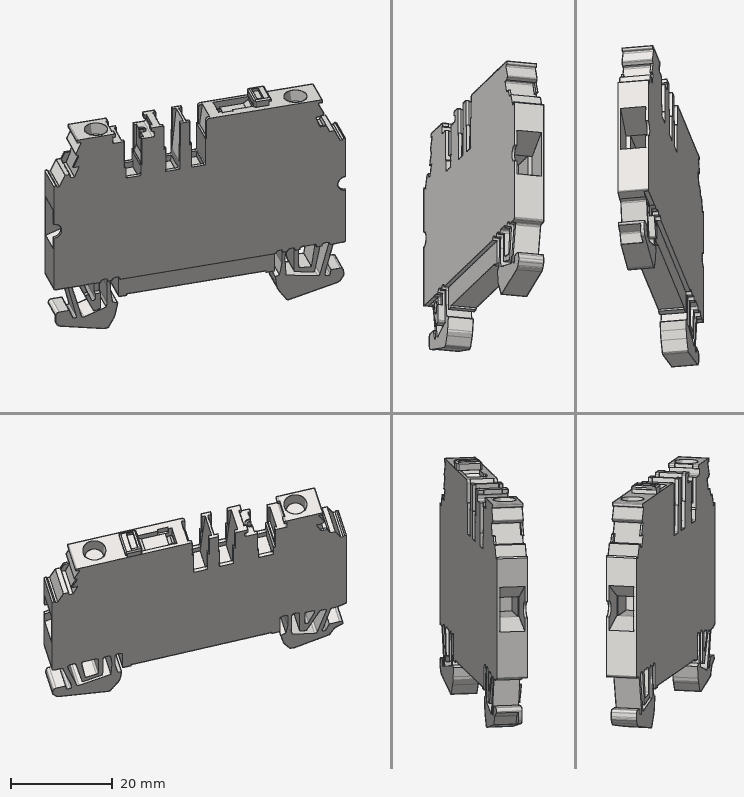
import cadquery as cq
import math

WIDTH = 6.1
HALF_LENGTH = 30.0
TOP_Z = 46.0
SLOT_FLOOR_Z = 35.3
WELL_FLOOR_Z = 34.0
LEDGE_Z = 43.85
FOOT_WIDTH = 5.16
FOOT_LINE_Z = 11.9
BASE_Z = 7.6
LEG_SLOT_TOP_Z = 12.53

SIDE_WALL = 0.7
WELL_WIDTH = 4.7
STRIP = 0.4
RECESS_DEPTH = 1.05

SCREW_X = 3.33
SCREW_Y = 20.5
SCREW_HOLE_MOUTH_RADIUS = 2.27
SCREW_HOLE_FLOOR_RADIUS = 1.85
SCREW_HOLE_DEPTH = 2.3


def rounded_outline(workplane, corners):
    """Closed outline through (u, v) corners; a third entry rounds that corner."""
    count = len(corners)
    started = False
    for index, corner in enumerate(corners):
        u, v = corner[:2]
        if len(corner) == 2:
            entry, middle, leave = (u, v), None, None
        else:
            before, after = corners[index - 1], corners[(index + 1) % count]
            entry, middle, leave = corner_arc(before, (u, v), after, corner[2])
        workplane = workplane.lineTo(*entry) if started else workplane.moveTo(*entry)
        started = True
        if middle:
            workplane = workplane.threePointArc(middle, leave)
    return workplane.close()


def corner_arc(before, corner, after, radius):
    """Start, middle and end of the arc that rounds one corner."""
    angle_in = math.atan2(before[1] - corner[1], before[0] - corner[0])
    angle_out = math.atan2(after[1] - corner[1], after[0] - corner[0])
    turn = math.remainder(angle_out - angle_in, 2 * math.pi)
    half = abs(turn) / 2
    tangent_length = radius / math.tan(half)
    middle_distance = radius / math.sin(half) - radius
    bisector = angle_in + turn / 2

    def along(angle, distance):
        return (corner[0] + distance * math.cos(angle), corner[1] + distance * math.sin(angle))

    return (
        along(angle_in, tangent_length),
        along(bisector, middle_distance),
        along(angle_out, tangent_length),
    )


def plate(corners, x_start, x_end):
    """YZ outline extruded along X between two positions."""
    workplane = cq.Workplane("YZ", origin=(x_start, 0, 0))
    return rounded_outline(workplane, corners).extrude(x_end - x_start)


def block(x_range, y_range, z_range):
    """Axis-aligned box given by its limits."""
    size = [high - low for low, high in (x_range, y_range, z_range)]
    corner = (x_range[0], y_range[0], z_range[0])
    return cq.Workplane("XY").box(*size, centered=False).translate(corner)


SHOULDER_TOP = (24.9, 42.15)
SHOULDER_BOTTOM = (26.7, 38.3)
SHOULDER = [
    (25.2, TOP_Z, 0.15),
    (25.2, 45.25, 0.15),
    (24.3, 45.4, 0.2),
    (25.55, 42.7, 0.2),
    SHOULDER_TOP,
    SHOULDER_BOTTOM,
    (27.7, 38.3),
    (28.87, 35.85),
    (29.3, 35.85),
    (29.62, 36.25),
    (HALF_LENGTH, 36.0),
]

front_shoulder = [(-corner[0], *corner[1:]) for corner in SHOULDER]
rear_shoulder = SHOULDER[::-1]

BRIDGE_SLOTS = [
    (1.4, TOP_Z, 0.6),
    (1.4, 41.45),
    (1.16, 41.45),
    (1.16, SLOT_FLOOR_Z, 0.25),
    (-1.7, SLOT_FLOOR_Z, 0.25),
    (-1.7, 40.85),
    (-2.04, 40.6),
    (-2.04, TOP_Z),
    (-3.95, TOP_Z),
    (-3.95, 40.75),
    (-4.08, 40.75),
    (-4.08, SLOT_FLOOR_Z, 0.25),
    (-6.98, SLOT_FLOOR_Z),
    (-6.98, 40.75),
    (-7.36, 40.5),
    (-7.36, TOP_Z, 0.3),
    (-9.94, TOP_Z),
    (-9.94, 45.25),
    (-9.3, 45.0, 0.2),
    (-9.3, LEDGE_Z, 0.4),
    (-11.9, LEDGE_Z),
    (-11.9, 37.85),
    (-12.07, 37.85),
    (-12.07, SLOT_FLOOR_Z, 0.25),
    (-15.15, SLOT_FLOOR_Z, 0.25),
    (-15.15, 37.5),
    (-15.5, 37.8),
    (-15.5, LEDGE_Z),
    (-17.88, LEDGE_Z, 0.25),
    (-17.88, 45.25),
    (-17.3, 45.25),
    (-17.3, TOP_Z, 0.3),
]

FRONT_FOOT = [
    (-HALF_LENGTH, 12.05, 0.2),
    (-28.16, 11.4),
    (-26.8, 11.4, 0.3),
    (-25.0, 4.0, 0.25),
    (-25.75, 4.0, 0.2),
    (-26.5, 5.97),
    (-29.3, 5.97, 0.7),
    (-29.3, 2.85, 1.3),
    (-19.3, 0.35, 1.2),
    (-18.5, 0.5, 0.3),
    (-17.2, 2.8, 4.0),
    (-16.57, 5.85),
    (-17.64, 6.3),
    (-18.05, 8.8),
    (-18.1, LEG_SLOT_TOP_Z, 0.75),
    (-16.4, LEG_SLOT_TOP_Z, 0.75),
    (-16.4, 7.25, 0.2),
    (-14.8, 7.25),
    (-14.7, BASE_Z),
]

REAR_FOOT = [
    (13.84, BASE_Z),
    (13.95, 7.25),
    (15.65, 7.25, 0.2),
    (15.65, LEG_SLOT_TOP_Z, 0.7),
    (17.17, LEG_SLOT_TOP_Z, 0.7),
    (17.17, 8.8),
    (16.67, 6.2),
    (15.83, 5.85),
    (16.2, 3.0, 4.0),
    (18.3, -0.06, 0.5),
    (29.0, 2.25, 1.5),
    (30.0, 3.7, 1.0),
    (29.7, 5.4, 0.6),
    (27.27, 5.4),
    (27.05, 4.15, 0.3),
    (26.05, 4.15, 0.3),
    (26.1, 5.2),
    (27.9, 11.95, 0.6),
    (HALF_LENGTH, 11.95, 0.4),
]

FRONT_LEG_SLOT = [
    (-18.85, LEG_SLOT_TOP_Z, 0.7),
    (-20.4, LEG_SLOT_TOP_Z, 0.7),
    (-20.4, 5.85, 0.5),
    (-21.8, 5.5, 0.3),
    (-24.6, 11.5, 0.5),
    (-26.05, 11.5, 0.5),
    (-23.9, 3.75, 0.4),
    (-18.95, 5.35),
    (-18.77, 6.3),
    (-18.77, 10.27),
]
FRONT_LEG_HOLE = [
    (-21.49, 11.97, 0.4),
    (-23.75, 11.97, 0.5),
    (-22.15, 7.9, 0.3),
    (-21.49, 8.2, 0.3),
]
REAR_LEG_SLOT = [
    (27.05, LEG_SLOT_TOP_Z, 0.7),
    (25.25, LEG_SLOT_TOP_Z, 0.5),
    (23.85, 5.5, 0.25),
    (19.7, 6.35, 0.2),
    (19.66, LEG_SLOT_TOP_Z, 0.7),
    (18.1, LEG_SLOT_TOP_Z, 0.6),
    (17.8, 9.7),
    (18.03, 5.85),
    (24.9, 4.45, 0.4),
]
REAR_LEG_HOLE = [
    (24.05, LEG_SLOT_TOP_Z, 0.4),
    (20.59, LEG_SLOT_TOP_Z, 0.6),
    (20.59, 7.1, 0.45),
    (23.24, 6.85),
]


def housing_plate():
    """Full-width housing plate, with the thinner feet and rail base below it."""
    outline = rear_shoulder + BRIDGE_SLOTS + front_shoulder + FRONT_FOOT + REAR_FOOT
    body = plate(outline, 0, WIDTH)
    for opening in (FRONT_LEG_SLOT, FRONT_LEG_HOLE, REAR_LEG_SLOT, REAR_LEG_HOLE):
        body = body.cut(plate(opening, 0, WIDTH))
    return body


BELOW_FEET_Z = -1.0
STOP_BOTTOM_Z = 5.5
STOP_TOP_Z = 9.47
STOP_Y = (-23.7, -20.4)
HOOK_TIP_WIDTH = 0.73
HOOK_RELIEF = [
    (-26.55, 2.2),
    (-27.6, 4.15, 0.6),
    (-29.4, 5.1),
    (-HALF_LENGTH, 5.1),
    (-HALF_LENGTH, 2.0),
]


def thin_the_feet(body):
    """Step the lower part back from the +X face, keep the lug, relieve the hook."""
    lower = block((FOOT_WIDTH, WIDTH), (-HALF_LENGTH, HALF_LENGTH), (BELOW_FEET_Z, FOOT_LINE_Z))
    lug = block((FOOT_WIDTH, WIDTH), STOP_Y, (STOP_BOTTOM_Z, STOP_TOP_Z))
    body = body.cut(lower.cut(lug))
    return body.cut(plate(HOOK_RELIEF, 0, FOOT_WIDTH - HOOK_TIP_WIDTH))


GROOVE_INNER_Y = 25.75
GROOVE_OUTER_Y = 26.5
GROOVE_FLOOR_Z = 37.5
STRIP_SPLIT_Z = 39.75


def shoulder_recess(body, side):
    """Marker recess in a sloped shoulder (side is +1 rear, -1 front).

    A proud strip stays along each edge: one above the split, the other below it,
    so that neighbouring housings interlock.
    """
    top_y, top_z = SHOULDER_TOP
    bottom_y, bottom_z = SHOULDER_BOTTOM
    outline = [
        (side * top_y, top_z),
        (side * (top_y - RECESS_DEPTH), top_z, 0.2),
        (side * GROOVE_INNER_Y, GROOVE_FLOOR_Z),
        (side * GROOVE_OUTER_Y, GROOVE_FLOOR_Z),
        (side * bottom_y, bottom_z),
    ]
    y_range = (-HALF_LENGTH, HALF_LENGTH)
    upper = block((0, WIDTH), y_range, (STRIP_SPLIT_Z, TOP_Z))
    lower = block((0, WIDTH), y_range, (FOOT_LINE_Z, STRIP_SPLIT_Z))
    near_half, far_half = (upper, lower) if side < 0 else (lower, upper)
    body = body.cut(plate(outline, STRIP, WIDTH - STRIP))
    body = body.cut(plate(outline, 0, STRIP).intersect(near_half))
    return body.cut(plate(outline, WIDTH - STRIP, WIDTH).intersect(far_half))


FIRST_WELL = [
    (2.2, TOP_Z),
    (1.6, 41.45),
    (1.0, 41.45),
    (1.0, WELL_FLOOR_Z),
    (-1.63, WELL_FLOOR_Z),
    (-2.68, TOP_Z),
]
SECOND_WELL = [
    (-3.2, TOP_Z),
    (-4.35, WELL_FLOOR_Z),
    (-6.95, WELL_FLOOR_Z),
    (-8.0, TOP_Z),
]
THIRD_WELL = [
    (-11.4, LEDGE_Z),
    (-11.4, 39.2),
    (-12.07, 37.4),
    (-12.07, WELL_FLOOR_Z),
    (-15.15, WELL_FLOOR_Z),
    (-15.15, 38.5),
    (-15.9, 38.9),
    (-15.9, LEDGE_Z),
]
LIP_NOTCH_X = (1.2, 4.9)
LIP_NOTCH_FLOOR_Z = 44.9
LIP_NOTCHES_Y = ((-9.94, -9.45), (-17.75, -17.3))
TEST_HOLE_X = 2.87
TEST_HOLE_Y = -11.0
TEST_HOLE_STEPS = ((0.9, 0.3), (0.5, 1.8))


def bridge_wells(body):
    for outline in (FIRST_WELL, SECOND_WELL, THIRD_WELL):
        body = body.cut(plate(outline, SIDE_WALL, SIDE_WALL + WELL_WIDTH))
    for y_range in LIP_NOTCHES_Y:
        body = body.cut(block(LIP_NOTCH_X, y_range, (LIP_NOTCH_FLOOR_Z, TOP_Z)))
    for radius, depth in TEST_HOLE_STEPS:
        hole = cq.Workplane("XY", origin=(TEST_HOLE_X, TEST_HOLE_Y, LEDGE_Z)).circle(radius).extrude(-depth)
        body = body.cut(hole)
    return body


ENTRY_X = (0.55, 5.55)
ENTRY_Z = (21.35, 30.3)
THROAT_X = (1.46, 5.3)
THROAT_Z = (23.2, 27.15)
FUNNEL_DEPTH = 6.0
THROAT_DEPTH = 6.0
ENTRY_NOTCH_RADIUS = 1.6
ENTRY_NOTCH_Z = 25.6


def screw_hole(body, y):
    """Blind hole that narrows towards its floor."""
    cone = cq.Solid.makeCone(
        SCREW_HOLE_FLOOR_RADIUS,
        SCREW_HOLE_MOUTH_RADIUS,
        SCREW_HOLE_DEPTH,
        pnt=cq.Vector(SCREW_X, y, TOP_Z - SCREW_HOLE_DEPTH),
    )
    return body.cut(cq.Workplane(cone))


def wire_entry(body, side):
    """Funnel with sloped floor and roof, square throat and round edge notch in one end wall."""
    end_y = side * HALF_LENGTH
    throat_y = side * (HALF_LENGTH - FUNNEL_DEPTH)
    inner_y = throat_y - side * THROAT_DEPTH
    funnel_outline = [
        (end_y, ENTRY_Z[0]),
        (throat_y, THROAT_Z[0]),
        (throat_y, THROAT_Z[1]),
        (end_y, ENTRY_Z[1]),
    ]
    funnel = plate(funnel_outline, *ENTRY_X)
    throat = block(THROAT_X, sorted((throat_y, inner_y)), THROAT_Z)
    notch = (
        cq.Workplane("YZ", origin=(ENTRY_X[1], end_y, ENTRY_NOTCH_Z))
        .circle(ENTRY_NOTCH_RADIUS)
        .extrude(WIDTH - ENTRY_X[1])
    )
    return body.cut(funnel).cut(throat).cut(notch)


RECESS_X = (0.7, 4.4)
RECESS_Y = (4.4, 14.0)
RECESS_FLOOR_Z = 42.0
FINGER_X = (4.4, 4.8)
FINGER_Y = (5.1, 7.25)
FINGER_FLOOR_Z = 44.6


def lever_recess(body):
    body = body.cut(block(RECESS_X, RECESS_Y, (RECESS_FLOOR_Z, TOP_Z)))
    return body.cut(block(FINGER_X, FINGER_Y, (FINGER_FLOOR_Z, TOP_Z)))


def make_housing():
    body = thin_the_feet(housing_plate())
    body = lever_recess(bridge_wells(body))
    for side in (1, -1):
        body = shoulder_recess(body, side)
        body = screw_hole(body, side * SCREW_Y)
        body = wire_entry(body, side)
    return body


LEVER_TOP_Z = 47.6
CAP_X = (0.0, 4.95)
CAP_PROFILE = [
    (14.6, TOP_Z),
    (14.6, 46.9),
    (15.05, 46.9),
    (15.05, LEVER_TOP_Z),
    (11.6, LEVER_TOP_Z),
    (11.6, TOP_Z),
]
CAP_CHAMFER = 0.3
GRIP_X = (0.7, 4.4)
GRIP_Y = (12.3, 13.65)
GRIP_DEPTH = 0.6
TONGUE_X = (1.6, 3.45)
ARM_TOP_Z = 44.6
ARM_PROFILE = [
    (RECESS_Y[1], RECESS_FLOOR_Z),
    (RECESS_Y[1], TOP_Z),
    (11.7, TOP_Z),
    (11.6, 45.3),
    (10.6, ARM_TOP_Z),
    (5.75, ARM_TOP_Z),
    (5.3, RECESS_FLOOR_Z),
]
TONGUE_PROFILE = [
    (5.75, RECESS_FLOOR_Z),
    (5.75, ARM_TOP_Z),
    (5.1, 45.0),
    (4.5, 44.6, 0.3),
    (4.5, RECESS_FLOOR_Z),
]


def make_lever():
    cap = plate(CAP_PROFILE, *CAP_X)
    cap = cap.faces(">Z").edges().chamfer(CAP_CHAMFER)
    cap = cap.faces("<Y").edges("|Z").chamfer(CAP_CHAMFER)
    arm = plate(ARM_PROFILE, *RECESS_X)
    tongue = plate(TONGUE_PROFILE, *TONGUE_X)
    grip = block(GRIP_X, GRIP_Y, (LEVER_TOP_Z - GRIP_DEPTH, LEVER_TOP_Z))
    return cap.union(arm).union(tongue).cut(grip)


housing = make_housing()
lever = make_lever()
result = cq.Compound.makeCompound([housing.solids().val(), lever.solids().val()])